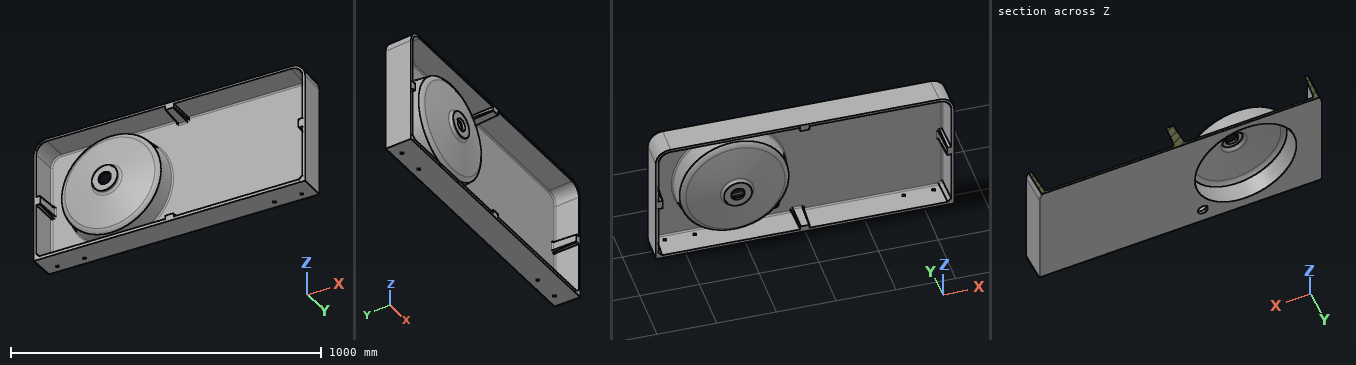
import cadquery as cq
import math


width = 1000.0
height = 450.0
depth = 100.0
corner_radius = 50.0
outer_draft = 1.0
back_edge_radius = 3.0
floor_thickness = 10.0
floor_y = depth - floor_thickness

side_wall = 10.0
lower_wall = 12.0
inner_draft = 3.0
upper_inner_radius = corner_radius - side_wall
lower_inner_chamfer = 12.0
floor_fillet = 5.0

rib_width = 41.0
rib_reach = 29.0
rib_corner_chamfer = 5.0

basin_x = -229.0
basin_z = 224.0
basin_thickness = floor_thickness
wall_top_radius = 189.0
wall_base_radius = 183.0
wall_base_y = 28.0
dome_radius = 166.0
dome_y = 16.0

boss_y = -17.0
boss_radius = 47.0
boss_flare_y = -12.0
boss_base_radius = 56.0
boss_base_y = -4.0
drain_diameter = 45.0

tap_hole_diameter = 35.0
tap_hole_x = -78.0
tap_hole_z = 60.0
mount_hole_diameter = 10.0
mount_hole_offsets = (350.0, 450.0)
mount_hole_y = 67.0


def facing_back(y):
    """Workplane whose local axes are +X and -Z and whose normal is +Y."""
    return cq.Workplane(cq.Plane(origin=(0, y, 0), xDir=(1, 0, 0), normal=(0, 1, 0)))


def tray_body():
    body = facing_back(0).center(0, -height / 2).rect(width, height)
    body = body.extrude(depth, taper=outer_draft)
    body = body.faces(">Z").edges("<X or >X").fillet(corner_radius)
    return body.faces(">Y").edges().fillet(back_edge_radius)


def tray_cavity():
    inner_width = width - 2 * side_wall
    inner_height = height - side_wall - lower_wall
    center_z = lower_wall + inner_height / 2
    cavity = facing_back(0).center(0, -center_z).rect(inner_width, inner_height)
    cavity = cavity.extrude(floor_y, taper=inner_draft)
    cavity = cavity.faces(">Z").edges("<X or >X").fillet(upper_inner_radius)
    return cavity.faces("<Z").edges("<X or >X").chamfer(lower_inner_chamfer)


def rib(x, z, size_x, size_z):
    """Rib from the floor to the rim, centred on the outer face of a wall."""
    outline = cq.Sketch().rect(size_x, size_z).vertices().chamfer(rib_corner_chamfer)
    floor_plane = cq.Workplane("XZ", origin=(x, floor_y, z))
    return floor_plane.placeSketch(outline).extrude(floor_y, taper=inner_draft)


def dome_middle(inner, outer):
    """Point between two (radius, y) points on the sphere through both, centred on the basin axis."""
    (r1, y1), (r2, y2) = inner, outer
    center_y = (r2**2 + y2**2 - r1**2 - y1**2) / (2 * (y2 - y1))
    sphere_radius = math.hypot(r1, y1 - center_y)
    middle_r = (r1 + r2) / 2
    return middle_r, center_y - math.sqrt(sphere_radius**2 - middle_r**2)


def basin(inset):
    """Solid of revolution shaped like the outside of the basin, moved inward by the inset."""
    dome_start = (boss_base_radius - inset, boss_base_y + inset)
    dome_end = (dome_radius - inset, dome_y + inset)
    section = (
        cq.Workplane("XY")
        .moveTo(0, boss_y + inset)
        .lineTo(boss_radius - inset, boss_y + inset)
        .lineTo(boss_radius - inset, boss_flare_y + inset)
        .tangentArcPoint(dome_start, relative=False)
        .threePointArc(dome_middle(dome_start, dome_end), dome_end)
        .tangentArcPoint((wall_base_radius - inset, wall_base_y + inset), relative=False)
        .lineTo(wall_top_radius - inset, floor_y + inset)
        .lineTo(0, floor_y + inset)
        .close()
    )
    solid = section.revolve(360, (0, 0, 0), (0, 1, 0))
    return solid.translate((basin_x, 0, basin_z))


def hole_along_y(x, z, diameter):
    return facing_back(boss_y).center(x, -z).circle(diameter / 2).extrude(depth - boss_y)


def mount_holes():
    spots = [(side * offset, mount_hole_y) for side in (-1, 1) for offset in mount_hole_offsets]
    return cq.Workplane("XY").pushPoints(spots).circle(mount_hole_diameter / 2).extrude(2 * lower_wall)


cavity = tray_cavity()
for z in (0, height):
    cavity = cavity.cut(rib(0, z, rib_width, 2 * rib_reach))
for x in (-width / 2, width / 2):
    cavity = cavity.cut(rib(x, height / 2, 2 * rib_reach, rib_width))
cavity = cavity.cut(basin(0))
cavity = cavity.faces(">Y").edges().fillet(floor_fillet)

result = tray_body().cut(cavity)
result = result.union(basin(0)).cut(basin(basin_thickness))
result = result.cut(hole_along_y(basin_x, basin_z, drain_diameter))
result = result.cut(hole_along_y(tap_hole_x, tap_hole_z, tap_hole_diameter))
result = result.cut(mount_holes())